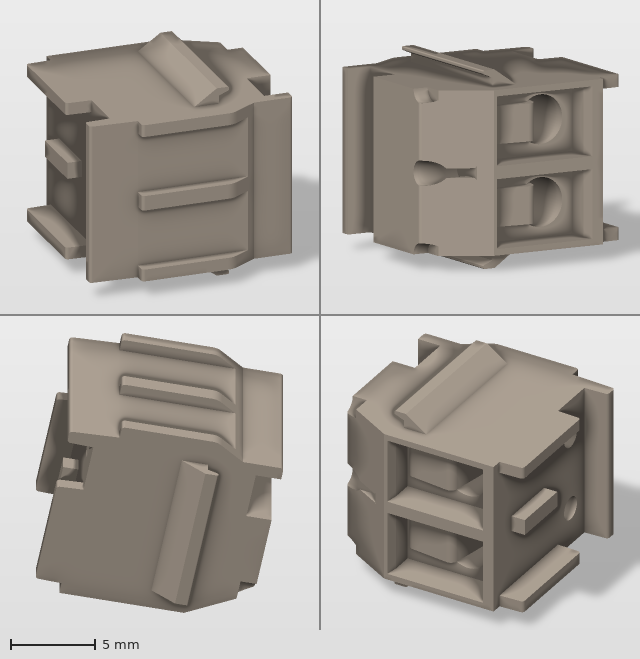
import cadquery as cq

length_x = 12.4
length_y = 13.0
pole_pitch = 5.0
body_height = 2 * pole_pitch
half_height = body_height / 2
hook_height = (12.0 - body_height) / 2
pole_levels = (-pole_pitch / 2, pole_pitch / 2)

floor_y = 1.6
back_x = 11.64
chamfer_start_y = 9.15
chamfer_end_x = 2.15
chamfer_tip_radius = 0.25
edge_radius = 0.2
flange_bottom_y = 3.0
flange_shoulder_y = 8.79
flange_blend_radius = 1.04
post_slope_y = 10.53
upper_post_left = 10.52
upper_post_right = 11.31
upper_gap_left = 7.54
upper_gap_y = 11.47
foot_left = 0.7
foot_right = 7.55
foot_draft = 0.06
lower_post_left = 10.65
lower_post_tip_right = 11.5

plate_thickness = 0.75
middle_flange_thickness = 0.92

key_left = 2.12
key_length = 3.81
key_width = 1.03
key_drop = 0.91

test_hole_x = 9.02
test_hole_radius = 0.75
test_hole_depth = 0.75

groove_radius = 0.77
groove_x = 2.09
outer_groove_y = 12.02
slot_bottom_y = 10.01
slot_half_width = 0.3
slot_flare_half_width = 0.45
slot_flare_height = 0.12

window_low_y = 2.33
window_high_y = 8.93
window_height = 4.22
mouth_taper = 0.13
mouth_depth = 0.82
window_depth = 2.16

wire_hole_y = 4.65
wire_hole_radius = 1.51
wire_hole_depth = 3.9
clamp_top_y = 8.67
clamp_nose_y = 5.34
clamp_bottom_y = 4.5
clamp_width = 2.3
clamp_top_rise = 0.27
clamp_nose_rise = 0.62
clamp_top_radius = 0.44
clamp_nose_radius = 0.47

hook_left = 1.22
hook_length = 9.5
hook_root_low_y = 6.94
hook_root_high_y = 8.52
hook_crest_y = 8.37
hook_tip_y = 9.15
hook_neck = 0.52
hook_tip_thickness = 0.22
hook_tip_radius = 0.08


def box(x_range, y_range, z_range):
    """Box between two limits along each axis."""
    sizes = [high - low for low, high in (x_range, y_range, z_range)]
    corner = (x_range[0], y_range[0], z_range[0])
    return cq.Workplane("XY").box(*sizes, centered=False).translate(corner)


def cylinder_along_y(x, y_low, y_high, z, radius):
    axis = cq.Vector(0, 1, 0)
    return cq.Workplane(cq.Solid.makeCylinder(radius, y_high - y_low, cq.Vector(x, y_low, z), axis))


def round_edge(body, x, y, radius):
    """Round the Z edge that passes through (x, y)."""
    return body.edges(cq.selectors.NearestToPointSelector((x, y, 0))).fillet(radius)


def make_housing():
    outline = [
        (0, floor_y),
        (foot_left, floor_y),
        (foot_left + foot_draft, 0),
        (foot_right - foot_draft, 0),
        (foot_right, floor_y),
        (lower_post_left, floor_y),
        (lower_post_left + foot_draft, 0),
        (lower_post_tip_right, 0),
        (back_x, flange_bottom_y),
        (length_x, flange_bottom_y),
        (length_x, flange_shoulder_y),
        (upper_post_right, post_slope_y),
        (upper_post_right, length_y),
        (upper_post_left, length_y),
        (upper_post_left, upper_gap_y),
        (upper_gap_left, upper_gap_y),
        (upper_gap_left, length_y),
        (chamfer_end_x, length_y),
        (0, chamfer_start_y),
    ]
    housing = cq.Workplane("XY").polyline(outline).close().extrude(half_height, both=True)

    rounded_corners = [
        (foot_left + foot_draft, 0, edge_radius),
        (foot_right - foot_draft, 0, edge_radius),
        (lower_post_left + foot_draft, 0, edge_radius),
        (lower_post_tip_right, 0, edge_radius),
        (length_x, flange_bottom_y, edge_radius),
        (length_x, flange_shoulder_y, flange_blend_radius),
        (upper_post_right, length_y, edge_radius),
        (chamfer_end_x, length_y, chamfer_tip_radius),
    ]
    for x, y, radius in rounded_corners:
        housing = round_edge(housing, x, y, radius)
    return housing


def open_gaps(housing):
    """Leave only the outer plates as feet, and three flanges along the back."""
    plate_z = half_height - plate_thickness
    housing = housing.cut(box((0, foot_right), (0, floor_y), (-plate_z, plate_z)))
    middle_z = middle_flange_thickness / 2
    for z_range in ((-plate_z, -middle_z), (middle_z, plate_z)):
        housing = housing.cut(box((back_x, length_x), (0, length_y), z_range))
    return housing


def add_key(housing):
    key = box(
        (key_left, key_left + key_length),
        (floor_y - key_drop, floor_y),
        (-key_width / 2, key_width / 2),
    )
    return housing.union(key)


def cut_test_holes(housing):
    for z in pole_levels:
        hole = cylinder_along_y(test_hole_x, floor_y, floor_y + test_hole_depth, z, test_hole_radius)
        housing = housing.cut(hole)
    return housing


def cut_grooves(housing):
    """Outer grooves are shallow; the middle one runs down and opens through a slot."""
    groove_bottoms = ((-pole_pitch, outer_groove_y), (0, slot_bottom_y), (pole_pitch, outer_groove_y))
    for z, bottom_y in groove_bottoms:
        housing = housing.cut(cylinder_along_y(groove_x, bottom_y, length_y, z, groove_radius))

    flare_top_y = slot_bottom_y + slot_flare_height
    slot_outline = [
        (slot_bottom_y, -slot_flare_half_width),
        (flare_top_y, -slot_half_width),
        (length_y, -slot_half_width),
        (length_y, slot_half_width),
        (flare_top_y, slot_half_width),
        (slot_bottom_y, slot_flare_half_width),
    ]
    slot = cq.Workplane("YZ").polyline(slot_outline).close().extrude(groove_x)
    return housing.cut(slot)


def make_window(z):
    """Wire entry with a tapered mouth and a round hole in its floor."""
    outline = [
        (0, window_low_y),
        (mouth_depth, window_low_y + mouth_taper),
        (window_depth, window_low_y + mouth_taper),
        (window_depth, window_high_y - mouth_taper),
        (mouth_depth, window_high_y - mouth_taper),
        (0, window_high_y),
    ]
    window = cq.Workplane("XY").polyline(outline).close().extrude(window_height / 2, both=True)
    hole = (
        cq.Workplane("YZ", origin=(window_depth, 0, 0))
        .center(wire_hole_y, 0)
        .circle(wire_hole_radius)
        .extrude(wire_hole_depth)
    )
    return window.union(hole).translate((0, 0, z))


def make_clamp(z):
    """Clamp with a slightly tilted face, whose underside slopes back into the wire hole."""
    hole_end_x = window_depth + wire_hole_depth
    top_corner = (window_depth - clamp_top_rise, clamp_top_y)
    nose_corner = (window_depth - clamp_nose_rise, clamp_nose_y)
    outline = [(hole_end_x, clamp_top_y), top_corner, nose_corner, (hole_end_x, clamp_bottom_y)]
    clamp = cq.Workplane("XY").polyline(outline).close().extrude(clamp_width / 2, both=True)
    clamp = round_edge(clamp, *top_corner, clamp_top_radius)
    clamp = round_edge(clamp, *nose_corner, clamp_nose_radius)
    return clamp.translate((0, 0, z))


def make_hook():
    """Hook on the +Z side."""
    outline = [
        (hook_root_low_y, 0),
        (hook_crest_y, hook_height),
        (hook_tip_y, hook_height),
        (hook_tip_y, hook_height - hook_tip_thickness),
        (hook_root_high_y, hook_neck),
        (hook_root_high_y, 0),
    ]
    hook = cq.Workplane("YZ").polyline(outline).close().extrude(hook_length)
    hook = hook.edges("|X and >Y").fillet(hook_tip_radius)
    return hook.translate((hook_left, 0, half_height))


part = make_housing()
part = open_gaps(part)
part = add_key(part)
part = cut_test_holes(part)
part = cut_grooves(part)
for level in pole_levels:
    part = part.cut(make_window(level)).union(make_clamp(level))
hook = make_hook()
part = part.union(hook).union(hook.mirror("XY"))

result = part